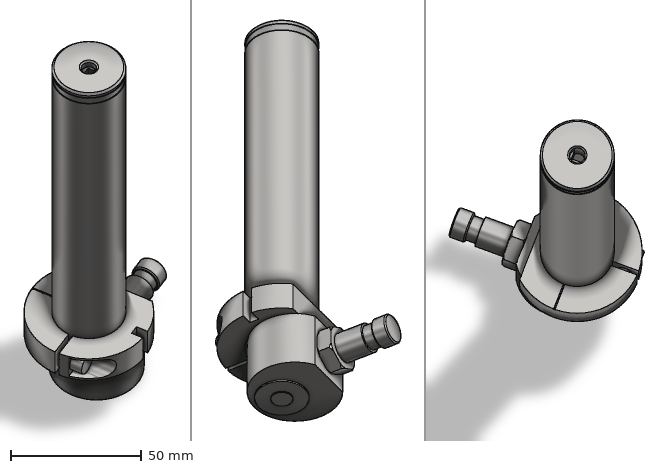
import cadquery as cq
import math

total_height = 175.1
housing_bottom = 1.2
collar_bottom = 25.0
collar_height = 12.0
seam_level = 169.7
lip_height = 2.3

tube_diameter = 28.5
neck_diameter = 28.0
lip_edge = 0.9
hole_diameter = 6.0
hole_mouth_diameter = 7.4
hole_depth = 8.8
ledge_depth = 3.2
ledge_side_x = -1.4
ledge_back_y = 2.0
mouth_taper = 0.7

housing_diameter = 36.8
housing_front = -12.5
housing_flat = 21.4
foot_diameter = 21.0
foot_height = 0.7
foot_center_diameter = 8.5

connector_level = 13.5
connector_end = 50.6
barrel_diameter = 12.0
groove_diameter = 10.0
nut_end = 27.7
nut_across_flats = 17.0
nut_chamfer = 0.9
groove_start = 39.7
groove_end = 44.1
connector_chamfer = 0.5

collar_diameter = 49.9
collar_flat = 16.6
clamp_slit_width = 1.8
hinge_slit_width = 0.5
hinge_slit_depth = 0.5
notch_width = 3.9
notch_floor = 20.0

screw_diameter = 5.0
head_diameter = 8.5
head_length = 5.3
pocket_diameter = 10.0
pocket_floor = 4.9
screw_y = -19.5

collar_radius = collar_diameter / 2
collar_mid_level = collar_bottom + collar_height / 2


def block(x_size, y_size, z_size, x, y, z):
    """Box given by its size and its lowest corner."""
    return cq.Workplane("XY").box(x_size, y_size, z_size, centered=False).translate((x, y, z))


def cylinder_z(diameter, bottom, top):
    return cq.Workplane("XY").workplane(offset=bottom).circle(diameter / 2).extrude(top - bottom)


def cylinder_x(diameter, start, end):
    """Cylinder along the clamp screw axis."""
    plane = cq.Plane(origin=(start, screw_y, collar_mid_level), xDir=(0, 1, 0), normal=(1, 0, 0))
    return cq.Workplane(plane).circle(diameter / 2).extrude(end - start)


def connector_plane(start):
    """Plane across the connector axis, with its local x pointing up."""
    return cq.Plane(origin=(0, start, connector_level), xDir=(0, 0, 1), normal=(0, 1, 0))


def cylinder_y(diameter, start, end):
    return cq.Workplane(connector_plane(start)).circle(diameter / 2).extrude(end - start)


def make_tube():
    lip_bottom = total_height - lip_height
    tube = cylinder_z(tube_diameter, collar_bottom, seam_level)
    neck = cylinder_z(neck_diameter, seam_level, lip_bottom)
    lip = cylinder_z(tube_diameter, lip_bottom, total_height).faces(">Z").edges().chamfer(lip_edge)
    hole = cylinder_z(hole_diameter, total_height - hole_depth, total_height)
    below_ledge = block(
        hole_diameter, hole_diameter, hole_depth - ledge_depth,
        ledge_side_x, ledge_back_y - hole_diameter, total_height - hole_depth,
    )
    above_ledge = cylinder_z(hole_diameter, total_height - ledge_depth, total_height)
    mouth = (
        cq.Workplane("XY")
        .workplane(offset=total_height)
        .circle(hole_mouth_diameter / 2)
        .workplane(offset=-mouth_taper)
        .circle(hole_diameter / 2)
        .loft()
    )
    cap_hole = hole.intersect(below_ledge).union(above_ledge).union(mouth)
    return tube.union(neck).union(lip).cut(cap_hole)


def make_housing():
    center_y = housing_front + housing_diameter / 2
    housing = cylinder_z(housing_diameter, housing_bottom, collar_bottom).translate((0, center_y, 0))
    beyond_flat = block(
        housing_diameter, housing_diameter, collar_bottom, -housing_diameter / 2, housing_flat, 0
    )
    foot = cylinder_z(foot_diameter, housing_bottom - foot_height, housing_bottom)
    foot_center = cylinder_z(foot_center_diameter, 0, housing_bottom)
    return housing.cut(beyond_flat).union(foot).union(foot_center)


def make_connector():
    nut_across_corners = nut_across_flats / math.cos(math.pi / 6)
    nut_length = nut_end - housing_flat
    nut = cq.Workplane(connector_plane(housing_flat)).polygon(6, nut_across_corners).extrude(nut_length)
    nut_envelope = cylinder_y(nut_across_corners, housing_flat, nut_end).edges().chamfer(nut_chamfer)
    barrel = cylinder_y(barrel_diameter, nut_end, groove_start)
    groove = cylinder_y(groove_diameter, groove_start, groove_end)
    tip = cylinder_y(barrel_diameter, groove_end, connector_end).edges().chamfer(connector_chamfer)
    return nut.intersect(nut_envelope).union(barrel).union(groove).union(tip)


def make_sensor():
    return make_tube().union(make_housing()).union(make_connector())


def make_screw():
    head_end = pocket_floor + head_length
    shank = cylinder_x(screw_diameter, -pocket_floor, pocket_floor)
    head = cylinder_x(head_diameter, pocket_floor, head_end)
    return shank.union(head)


def make_clamp():
    top = collar_bottom + collar_height
    collar = cylinder_z(collar_diameter, collar_bottom, top).cut(
        cylinder_z(tube_diameter, collar_bottom, top)
    )
    beyond_flat = block(
        collar_diameter, collar_radius, collar_height, -collar_radius, collar_flat, collar_bottom
    )
    clamp_slit = block(
        clamp_slit_width, collar_radius, collar_height, -clamp_slit_width / 2, -collar_radius, collar_bottom
    )
    notch = block(collar_radius, notch_width, collar_height, notch_floor, -notch_width / 2, collar_bottom)
    hinge_slit = block(
        collar_radius, hinge_slit_width, hinge_slit_depth,
        -collar_radius, -hinge_slit_width / 2, top - hinge_slit_depth,
    )
    pocket = cylinder_x(pocket_diameter, pocket_floor, collar_radius)
    pocket_mouth = block(
        collar_radius, collar_radius, pocket_diameter,
        pocket_floor, screw_y - collar_radius, collar_mid_level - pocket_diameter / 2,
    )
    for cutter in (beyond_flat, clamp_slit, notch, hinge_slit, pocket, pocket_mouth):
        collar = collar.cut(cutter)
    return collar.union(make_screw())


sensor = make_sensor()
clamp = make_clamp()
result = cq.Compound.makeCompound([sensor.val(), clamp.val()])